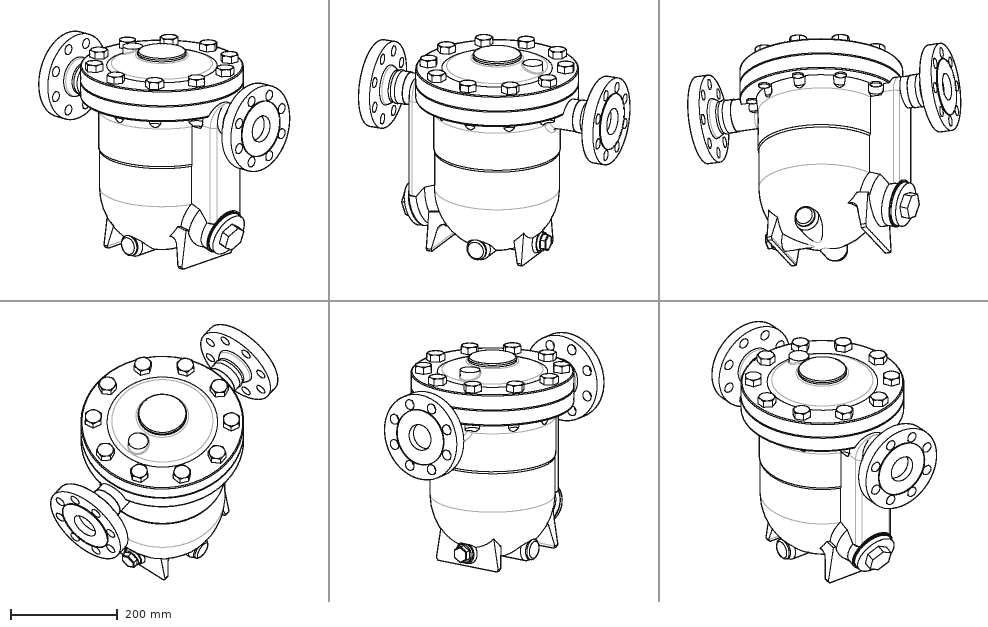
import cadquery as cq
import math


flange_radius = 152.5
joint_gap = 2.5
body_flange_top = 329.0
body_flange_bottom = 299.5
body_edge_height = 2.5
body_edge_width = 1.0
gasket_radius = 117.5
cover_bottom = body_flange_top + joint_gap
cover_top = 360.5
cover_edge_chamfer = 2.0

dome_foot_radius = 103.5
dome_shoulder_radius = 94.5
dome_shoulder_height = 4.0
cap_foot_radius = 49.5
cap_foot_z = 380.5
cap_radius = 45.5
cap_top = 389.0
cap_chamfer = 1.5
cap_chamfer_height = 3.0
cap_fillet_height = 2.0
cover_boss_x = -73.5
cover_boss_radius = 18.5
cover_boss_top = 382.0
cover_boss_fillet = 2.0

bolt_count = 10
bolt_circle_radius = 129.5
bolt_head_corners = 34.0
bolt_head_height = 13.5
bolt_head_chamfer = 1.5
bolt_first_angle = 18
bolt_radius = 10.2
bolt_end_radius = 10.5
bolt_end_length = 3.0
bolt_clearance_radius = 14.0
bolt_clearance_shoulder = 284.0
bolt_clearance_bottom = 275.0
bolt_clearance_tip_radius = 9.5

upper_radius = 118.5
lower_radius = 117.0
neck_radius = 122.0
neck_bottom = 274.5
step_top = 200.0
step_bottom = 195.5
bowl_z = 120.5

nozzle_z = 291.0
inlet_end = 238.0
outlet_end = 250.0
raised_face_radius = 53.0
raised_face = 2.0
pipe_flange_radius = 82.5
pipe_flange_back = 25.0
hub_radius = 38.0
hub_rim_radius = 36.5
hub_rim = 29.0
hub_end = 39.0
hub_end_radius = 30.5
bead_start = 43.5
bead_end = 52.0
bead_radius = 32.0
stub_radius = 31.0
stub_end = 68.5
pipe_radius = 30.0
bore_radius = 25.0
bore_depth = 14.5
pipe_flange_holes = 8
pipe_flange_hole_diameter = 19.0
pipe_flange_bolt_circle = 64.5
nozzle_fillet = 9.5

duct_half_width = 39.5
duct_end_radius = 170.0
duct_bottom = 92.5
duct_arch_z = nozzle_z + pipe_radius - duct_half_width
duct_edge_fillet = 10.0

port_z = 122.5
port_angle = 19.4
port_neck_radius = 53.5
port_neck_end = 126.0
port_radius = 45.0
port_cone_end = 150.5
port_end = 166.0
port_washer_radius = 42.5
port_washer_end = 168.5
port_plug_radius = 41.5
port_plug_end = 178.0
port_hex_corners = 50.0
port_hex_end = 194.0

foot_half_width = 70.5
foot_side_angle = 9
foot_corner = 3.5
foot_corner_height = 5.5
foot_top = 82.0
left_foot_outer = -83.0
left_foot_sole = 9.0
right_foot_outer = 113.5
right_foot_sole = 10.2
right_foot_outer_top = 74.0
foot_sole_height = 5.0
foot_slope = 13.5
foot_arc_radius = 14.5
foot_arc_z = 55.5
right_foot_inner = 58.5

boss_z = 28.0
boss_radius = 23.5
side_boss_shoulder = 80.0
side_boss_end = 89.0
side_boss_face = 95.0
side_boss_face_radius = 19.5
side_boss_chamfer = 3.5
drain_boss_shoulder = 81.0
drain_boss_end = 90.0
drain_boss_end_radius = 20.0
drain_collar_end = 95.5
drain_collar_radius = 17.5
drain_hex_end = 106.5
drain_hex_corners = 31.5
drain_hex_chamfer = 1.5


def revolved(points):
    """Solid of revolution about Z from (radius, z) points."""
    return cq.Workplane("XZ").polyline(points).close().revolve(360, (0, 0), (0, 1))


def bolt_places():
    step = 360 / bolt_count
    return [bolt_first_angle + i * step for i in range(bolt_count)]


def at_bolt(shape, angle):
    return shape.translate((bolt_circle_radius, 0, 0)).rotate((0, 0, 0), (0, 0, 1), angle)


def make_bolt_head():
    """Hexagon with its top corners cut to a cone, on a short shank across the joint gap."""
    top = cover_top + bolt_head_height
    corner = bolt_head_corners / 2
    head = cq.Workplane("XY").workplane(offset=cover_top).polygon(6, bolt_head_corners).extrude(bolt_head_height)
    head = head.rotate((0, 0, 0), (0, 0, 1), 30)
    flat = corner * math.cos(math.radians(30))
    crown = revolved([
        (0, cover_top),
        (corner, cover_top),
        (corner, top - bolt_head_chamfer),
        (flat, top),
        (0, top),
    ])
    shank_height = cover_top - body_flange_top
    shank = cq.Workplane("XY").workplane(offset=body_flange_top).circle(bolt_radius).extrude(shank_height)
    return head.intersect(crown).union(shank)


def make_cover():
    cover = revolved([
        (0, cover_bottom),
        (flange_radius, cover_bottom),
        (flange_radius, cover_top - cover_edge_chamfer),
        (flange_radius - cover_edge_chamfer, cover_top),
        (dome_foot_radius, cover_top),
        (dome_shoulder_radius, cover_top + dome_shoulder_height),
        (cap_foot_radius, cap_foot_z),
        (cap_radius, cap_foot_z + cap_fillet_height),
        (cap_radius, cap_top - cap_chamfer_height),
        (cap_radius - cap_chamfer, cap_top),
        (0, cap_top),
    ])
    boss = (
        cq.Workplane("XY")
        .workplane(offset=cover_top)
        .center(cover_boss_x, 0)
        .circle(cover_boss_radius)
        .extrude(cover_boss_top - cover_top)
    )
    cover = cover.union(boss)
    cover = cover.edges("%BSPLINE").fillet(cover_boss_fillet)
    head = make_bolt_head()
    for angle in bolt_places():
        cover = cover.union(at_bolt(head, angle))
    return cover


def make_vessel():
    """Flange, barrel and round bowl turned in one profile."""
    return (
        cq.Workplane("XZ")
        .moveTo(0, bowl_z - lower_radius)
        .radiusArc((lower_radius, bowl_z), -lower_radius)
        .lineTo(lower_radius, step_bottom)
        .lineTo(upper_radius, step_top)
        .lineTo(upper_radius, neck_bottom)
        .lineTo(neck_radius, body_flange_bottom)
        .lineTo(flange_radius - body_edge_width, body_flange_bottom)
        .lineTo(flange_radius, body_flange_bottom + body_edge_height)
        .lineTo(flange_radius, body_flange_top)
        .lineTo(gasket_radius, body_flange_top)
        .lineTo(gasket_radius, cover_bottom)
        .lineTo(0, cover_bottom)
        .close()
        .revolve(360, (0, 0), (0, 1))
    )


def make_nozzle(length):
    """Flanged pipe along +X, from the vessel axis to its end face at X = length."""
    nozzle = (
        cq.Workplane("XZ")
        .lineTo(pipe_radius, 0)
        .lineTo(pipe_radius, length - stub_end)
        .lineTo(stub_radius, length - stub_end)
        .lineTo(stub_radius, length - bead_end)
        .threePointArc((bead_radius, length - (bead_start + bead_end) / 2), (hub_end_radius, length - bead_start))
        .lineTo(hub_end_radius, length - hub_end)
        .lineTo(hub_rim_radius, length - hub_rim)
        .lineTo(hub_radius, length - pipe_flange_back)
        .lineTo(pipe_flange_radius, length - pipe_flange_back)
        .lineTo(pipe_flange_radius, length - raised_face)
        .lineTo(raised_face_radius, length - raised_face)
        .lineTo(raised_face_radius, length)
        .lineTo(0, length)
        .close()
        .revolve(360, (0, 0), (0, 1))
    )
    holes = (
        cq.Workplane("XY")
        .workplane(offset=length)
        .polarArray(pipe_flange_bolt_circle, 180 / pipe_flange_holes, 360, pipe_flange_holes)
        .circle(pipe_flange_hole_diameter / 2)
        .extrude(-pipe_flange_back)
    )
    bore = cq.Workplane("XY").workplane(offset=length).circle(bore_radius).extrude(-bore_depth)
    nozzle = nozzle.cut(holes).cut(bore)
    return nozzle.rotate((0, 0, 0), (0, 1, 0), 90).translate((0, 0, nozzle_z))


def make_duct():
    """Arched duct with an end concentric to the vessel and rounded edges."""
    duct = (
        cq.Workplane("YZ")
        .moveTo(-duct_half_width, duct_bottom)
        .lineTo(duct_half_width, duct_bottom)
        .lineTo(duct_half_width, duct_arch_z)
        .radiusArc((-duct_half_width, duct_arch_z), -duct_half_width)
        .close()
        .extrude(duct_end_radius + 5)
    )
    envelope = cq.Workplane("XY").circle(duct_end_radius).extrude(body_flange_top)
    duct = duct.intersect(envelope)
    end_edges = cq.selectors.BoxSelector(
        (duct_end_radius - 19.5, -duct_half_width - 5, duct_bottom + 5),
        (duct_end_radius + 5, duct_half_width + 5, body_flange_top),
    )
    return duct.edges(end_edges).fillet(duct_edge_fillet)


def make_port():
    """Inclined port with a washer and hexagon plug, pointing outwards and down."""
    port = revolved([
        (0, 0),
        (port_neck_radius, 0),
        (port_neck_radius, port_neck_end),
        (port_radius, port_cone_end),
        (port_radius, port_end),
        (port_washer_radius, port_end),
        (port_washer_radius, port_washer_end),
        (port_plug_radius, port_washer_end),
        (port_plug_radius, port_plug_end),
        (0, port_plug_end),
    ])
    plug_hex = (
        cq.Workplane("XY")
        .workplane(offset=port_plug_end)
        .polygon(6, port_hex_corners)
        .extrude(port_hex_end - port_plug_end)
    )
    return port.union(plug_hex).rotate((0, 0, 0), (0, 1, 0), 90 + port_angle).translate((0, 0, port_z))


def foot_outline():
    """Tapered plate that trims both feet across Y."""
    top_half_width = foot_half_width - foot_top * math.tan(math.radians(foot_side_angle))
    return (
        cq.Workplane("YZ")
        .polyline([
            (-foot_half_width + foot_corner, 0),
            (foot_half_width - foot_corner, 0),
            (foot_half_width, foot_corner_height),
            (top_half_width, foot_top),
            (-top_half_width, foot_top),
            (-foot_half_width, foot_corner_height),
        ])
        .close()
        .extrude(flange_radius, both=True)
    )


def make_left_foot():
    lean = (foot_top - foot_sole_height) * math.tan(math.radians(foot_slope))
    inner = left_foot_outer + left_foot_sole
    side = cq.Workplane("XZ").polyline([
        (left_foot_outer, 0),
        (inner, 0),
        (inner, foot_sole_height),
        (inner + lean, foot_top),
        (left_foot_outer, foot_top),
    ])
    return side.close().extrude(foot_half_width, both=True).intersect(foot_outline())


def make_right_foot():
    """Foot whose inner face curves in under the bowl."""
    slope = math.radians(foot_slope)
    inner = right_foot_outer - right_foot_sole
    centre_z = foot_arc_z - foot_arc_radius
    tangent_z = centre_z + foot_arc_radius * math.sin(slope)
    tangent_x = inner - (tangent_z - foot_sole_height) * math.tan(slope)
    centre_x = tangent_x - foot_arc_radius * math.cos(slope)
    side = (
        cq.Workplane("XZ")
        .moveTo(right_foot_outer, 0)
        .lineTo(inner, 0)
        .lineTo(inner, foot_sole_height)
        .lineTo(tangent_x, tangent_z)
        .radiusArc((centre_x, foot_arc_z), -foot_arc_radius)
        .lineTo(right_foot_inner, foot_arc_z)
        .lineTo(right_foot_inner, foot_top)
        .lineTo(right_foot_outer, right_foot_outer_top)
        .close()
        .extrude(foot_half_width, both=True)
    )
    return side.intersect(foot_outline())


def make_side_boss():
    """Round boss along +X with a chamfered end disc."""
    boss = revolved([
        (0, 0),
        (boss_radius, 0),
        (boss_radius, side_boss_shoulder),
        (side_boss_face_radius, side_boss_end),
        (side_boss_face_radius, side_boss_face - side_boss_chamfer),
        (side_boss_face_radius - side_boss_chamfer, side_boss_face),
        (0, side_boss_face),
    ])
    return boss.rotate((0, 0, 0), (0, 1, 0), 90).translate((0, 0, boss_z))


def make_drain_boss():
    """Round boss along +X with a collar and hexagon plug."""
    boss = revolved([
        (0, 0),
        (boss_radius, 0),
        (boss_radius, drain_boss_shoulder),
        (drain_boss_end_radius, drain_boss_end),
        (drain_collar_radius, drain_boss_end),
        (drain_collar_radius, drain_collar_end),
        (0, drain_collar_end),
    ])
    plug_hex = (
        cq.Workplane("XY")
        .workplane(offset=drain_collar_end)
        .polygon(6, drain_hex_corners)
        .extrude(drain_hex_end - drain_collar_end)
        .faces(">Z")
        .chamfer(drain_hex_chamfer)
    )
    return boss.union(plug_hex).rotate((0, 0, 0), (0, 1, 0), 90).translate((0, 0, boss_z))


def make_bolt_end():
    end = cq.Workplane("XY").workplane(offset=body_flange_bottom).circle(bolt_end_radius)
    return end.extrude(-bolt_end_length)


def make_bolt_clearance():
    """Cutter that notches the neck of the vessel below a bolt."""
    return revolved([
        (0, bolt_clearance_bottom),
        (bolt_clearance_tip_radius, bolt_clearance_bottom),
        (bolt_clearance_radius, bolt_clearance_shoulder),
        (bolt_clearance_radius, body_flange_bottom),
        (0, body_flange_bottom),
    ])


def turned(shape, angle):
    return shape.rotate((0, 0, 0), (0, 0, 1), angle)


def make_body():
    body = make_vessel()
    body = body.union(turned(make_nozzle(inlet_end), 180))
    root_edges = cq.selectors.BoxSelector(
        (-neck_radius - 5, -pipe_radius - 5, nozzle_z - pipe_radius - 5),
        (-lower_radius + 10, pipe_radius + 5, body_flange_bottom - 0.5),
    )
    body = body.edges(root_edges).fillet(nozzle_fillet)
    body = body.union(make_duct())
    body = body.union(make_nozzle(outlet_end))
    body = body.union(make_left_foot())
    body = body.union(make_right_foot())
    body = body.union(make_port())
    side_boss = make_side_boss()
    for angle in (90, -90):
        body = body.union(turned(side_boss, angle))
    body = body.union(turned(make_drain_boss(), 180))
    bolt_end = make_bolt_end()
    bolt_clearance = make_bolt_clearance()
    for angle in bolt_places():
        body = body.cut(at_bolt(bolt_clearance, angle)).union(at_bolt(bolt_end, angle))
    return body


cover = make_cover()
body = make_body()

result = cq.Compound.makeCompound([cover.val(), body.val()])